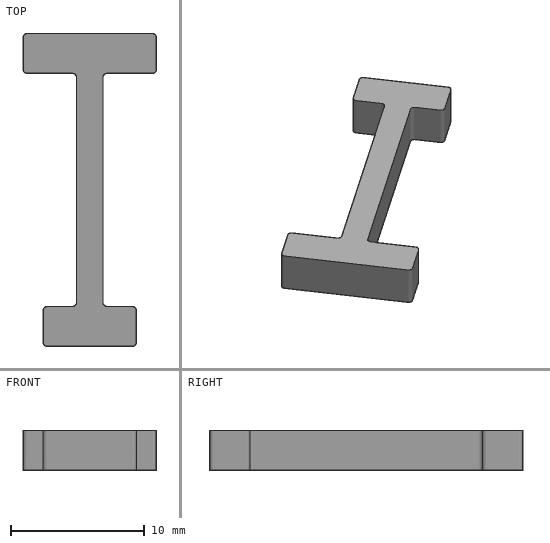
import cadquery as cq

length = 23.5
thickness = 3.0

wide_flange_width = 10.0
narrow_flange_width = 7.0
flange_depth = 3.0

web_width = 2.0

corner_radius = 0.3


def flange(width, center_y):
    """Rectangular end block centred on the web, resting on Z = 0."""
    return (
        cq.Workplane("XY")
        .center(0, center_y)
        .rect(width, flange_depth)
        .extrude(thickness)
    )


flange_offset = (length - flange_depth) / 2

web = cq.Workplane("XY").rect(web_width, length).extrude(thickness)
wide_flange = flange(wide_flange_width, flange_offset)
narrow_flange = flange(narrow_flange_width, -flange_offset)

body = web.union(wide_flange).union(narrow_flange).clean()
result = body.edges("|Z").fillet(corner_radius)